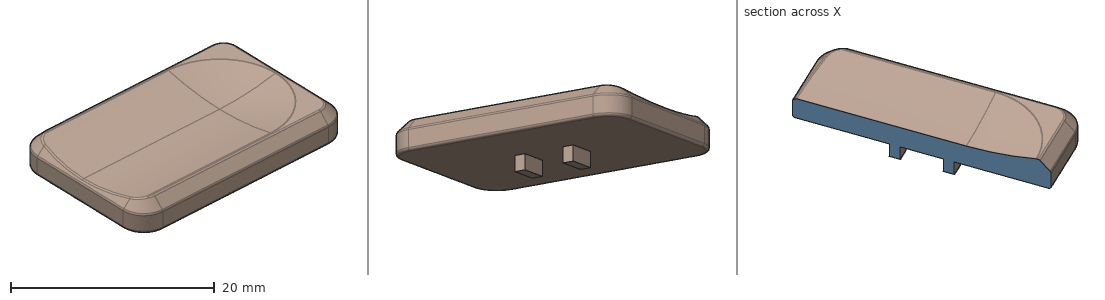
import cadquery as cq
import math

WIDTH = 18.0
LENGTH = 27.5
TOTAL_HEIGHT = 5.14
PLATE_HEIGHT = 3.5
CORNER_RADIUS = 2.75

TOP_CHAMFER = 1.25
CHAMFER_ANGLE = 45
EDGE_RADIUS = 0.3

DISH_HALF_WIDTH = 7.45
DISH_DEPTH = 0.9
DISH_FLOOR_Z = PLATE_HEIGHT - DISH_DEPTH
DISH_RADIUS = (DISH_HALF_WIDTH**2 + DISH_DEPTH**2) / (2 * DISH_DEPTH)
DISH_AXIS_Z = DISH_FLOOR_Z + DISH_RADIUS
DISH_END_CENTER_Y = LENGTH / 2 - WIDTH / 2
DISH_END_SWEEP = 90
DISH_HEADROOM = 1.0

LEG_WIDTH = 3.0
LEG_THICKNESS = 1.2
LEG_SPACING = 5.75
LEG_HEIGHT = TOTAL_HEIGHT - PLATE_HEIGHT

NORMAL_TOLERANCE = 0.01
LENGTH_TOLERANCE = 1e-4


def make_plate():
    """Rounded rectangle with a wide 45 degree chamfer around its top; the underside is at Z = 0."""
    block = cq.Workplane("XY").rect(WIDTH, LENGTH).extrude(PLATE_HEIGHT)
    block = block.edges("|Z").fillet(CORNER_RADIUS)
    block = block.faces(">Z").edges().chamfer(TOP_CHAMFER)
    return block.faces("<Z").edges().fillet(EDGE_RADIUS)


def dish_half_section():
    """+X half of the dish section: the dish arc, then the rim arc tangent to it and to the flat top."""
    axis_to_rim_center = DISH_RADIUS + EDGE_RADIUS
    rim_center_drop = DISH_AXIS_Z - (PLATE_HEIGHT - EDGE_RADIUS)
    rim_x = math.sqrt(axis_to_rim_center**2 - rim_center_drop**2)
    tangent_ratio = DISH_RADIUS / axis_to_rim_center
    tangent_x = rim_x * tangent_ratio
    tangent_z = DISH_AXIS_Z - rim_center_drop * tangent_ratio
    tool_top = PLATE_HEIGHT + DISH_HEADROOM
    return (
        cq.Workplane("XZ", origin=(0, DISH_END_CENTER_Y, 0))
        .moveTo(0, DISH_FLOOR_Z)
        .radiusArc((tangent_x, tangent_z), -DISH_RADIUS)
        .radiusArc((rim_x, PLATE_HEIGHT), EDGE_RADIUS)
        .lineTo(rim_x, tool_top)
        .lineTo(0, tool_top)
        .close()
    )


def cut_dish(body):
    """Cut the channel and its round end as mirrored halves that meet at X = 0."""
    channel = dish_half_section().extrude(LENGTH)
    round_end = dish_half_section().revolve(DISH_END_SWEEP, (0, 0, 0), (0, 1, 0))
    for half in (channel, round_end):
        for tool in (half, half.mirror("YZ")):
            body = body.cut(tool, clean=False)
    return body


def is_chamfer_face(face):
    return abs(face.normalAt().z - math.cos(math.radians(CHAMFER_ANGLE))) < NORMAL_TOLERANCE


def is_chamfer_seam(edge):
    """Sloping straight edges only separate neighbouring chamfer faces."""
    rise = edge.endPoint().z - edge.startPoint().z
    return edge.geomType() == "LINE" and abs(rise) > LENGTH_TOLERANCE


def round_chamfer_edges(body):
    """Round the lower and upper edges of the chamfer, including where it meets the dish."""
    chamfer_edges = body.faces().filter(is_chamfer_face).edges().vals()
    border = [edge for edge in chamfer_edges if not is_chamfer_seam(edge)]
    return body.newObject([body.solids().val().fillet(EDGE_RADIUS, border)])


def make_legs():
    leg_centers = [(0, side * LEG_SPACING / 2) for side in (-1, 1)]
    return cq.Workplane("XY").pushPoints(leg_centers).rect(LEG_WIDTH, LEG_THICKNESS).extrude(-LEG_HEIGHT)


cap = round_chamfer_edges(cut_dish(make_plate()))
result = cap.union(make_legs(), clean=False)